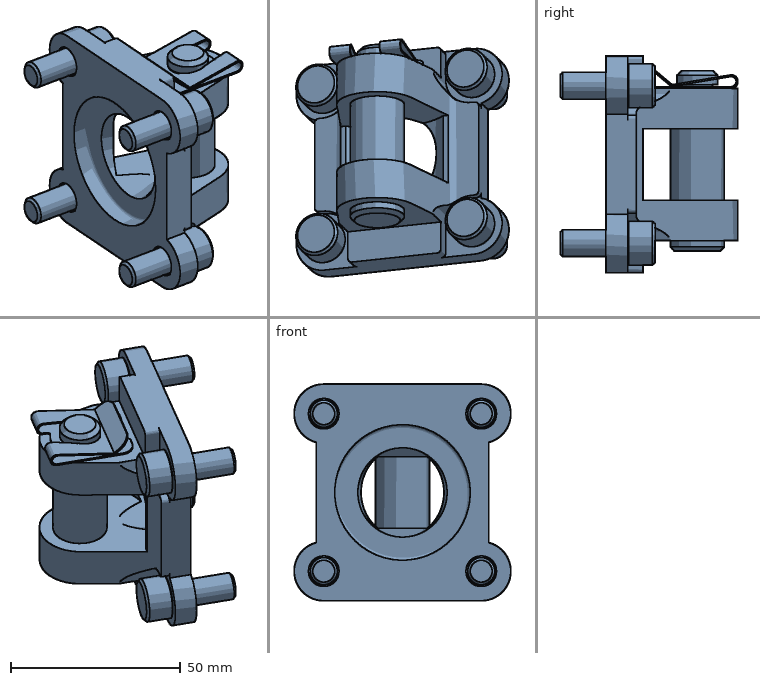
import cadquery as cq
import math

flange_size = 64.0
flange_waist_width = 51.0
ear_radius = 8.8
screw_spacing = flange_size - 2 * ear_radius
screw_offset = screw_spacing / 2
ear_thickness = 6.5
waist_thickness = 9.0
base_thickness = 11.0
recess_edge_radius = 1.2
screw_hole_diameter = 9.0

bore_diameter = 40.0
bore_depth = 5.0
bore_corner = 1.0
cone_diameter = 26.4
cone_half_angle = 15.0

pin_axis_y = 27.0
arm_end_radius = 12.0
arm_taper_angle = 15.0
arm_gap = 21.0
arm_top = 22.45
scoop_radius = pin_axis_y - bore_depth

pin_diameter = 16.0
pin_bottom = -25.55
pin_bottom_chamfer = 1.2
pin_neck_diameter = 9.0
pin_neck_height = 1.1
pin_tip_diameter = 12.0
pin_top = 27.65
pin_top_chamfer = 1.35

head_diameter = 13.0
head_height = 8.0
bearing_diameter = 12.0
bearing_height = 0.2
shank_diameter = 8.0
shank_length = 20.0
screw_chamfer = 0.8

clip_width = 22.0
clip_thickness = 0.5
loop_outer_radius = 2.0
leaf_tilt = 9.5
fold_y = 19.5
lip_tilt = 40.0
lip_length = 6.15
clip_front_y = 12.9
clip_corner_radius = 4.0
entry_half_width = 4.35
entry_round = 1.15
loop_slot_half_width = 4.6
loop_slot_round = 1.0
tongue_radius = 8.8
leaf_slot_half_width = 5.6
leaf_slot_wide_y = 29.8
leaf_slot_narrow_y = 38.15


def cylinder_along_y(x, z, diameter, y_start, y_end):
    disc = cq.Workplane("XZ", origin=(x, y_start, z)).circle(diameter / 2)
    return disc.extrude(-(y_end - y_start))


def screw_positions():
    return [(sx * screw_offset, sz * screw_offset) for sx in (-1, 1) for sz in (-1, 1)]


def make_flange():
    """Thin plate with four round ears."""
    tall = cq.Workplane("XZ").rect(screw_spacing, flange_size).extrude(-ear_thickness)
    wide = cq.Workplane("XZ").rect(flange_waist_width, screw_spacing).extrude(-ear_thickness)
    flange = tall.union(wide)
    for x, z in screw_positions():
        flange = flange.union(cylinder_along_y(x, z, 2 * ear_radius, 0, ear_thickness))
    return flange


def arm_tangent_point():
    """Point where the straight flank of an arm meets its round end, on the +X side."""
    taper = math.radians(arm_taper_angle)
    return arm_end_radius * math.cos(taper), pin_axis_y + arm_end_radius * math.sin(taper)


def flank_half_width(y):
    """Half width across the arm flanks at depth y."""
    tangent_x, tangent_y = arm_tangent_point()
    return tangent_x + (tangent_y - y) * math.tan(math.radians(arm_taper_angle))


def make_raised_base():
    """Thicker middle of the plate, with a concave sweep from the waist up to the arm flanks."""
    half_waist = flange_waist_width / 2
    taper = math.radians(arm_taper_angle)
    sweep_turn = math.pi / 2 - taper
    rise = base_thickness - waist_thickness
    sweep_radius = rise / (1 - math.sin(taper))
    top_x = flank_half_width(base_thickness)
    centre_x = top_x + sweep_radius * math.cos(taper)
    centre_y = waist_thickness + sweep_radius
    middle_angle = math.pi + taper + sweep_turn / 2
    middle_x = centre_x + sweep_radius * math.cos(middle_angle)
    middle_y = centre_y + sweep_radius * math.sin(middle_angle)
    profile = (
        cq.Workplane("XY")
        .moveTo(-half_waist, ear_thickness)
        .lineTo(half_waist, ear_thickness)
        .lineTo(half_waist, waist_thickness)
        .lineTo(centre_x, waist_thickness)
        .threePointArc((middle_x, middle_y), (top_x, base_thickness))
        .lineTo(-top_x, base_thickness)
        .threePointArc((-middle_x, middle_y), (-centre_x, waist_thickness))
        .lineTo(-half_waist, waist_thickness)
        .close()
    )
    return profile.extrude(flange_size / 2, both=True)


def make_arms():
    """Two tapered arms with round ends, separated by the clevis gap."""
    tangent_x, tangent_y = arm_tangent_point()
    root_x = flank_half_width(base_thickness)
    arms = (
        cq.Workplane("XY")
        .moveTo(-root_x, base_thickness)
        .lineTo(root_x, base_thickness)
        .lineTo(tangent_x, tangent_y)
        .threePointArc((0, pin_axis_y + arm_end_radius), (-tangent_x, tangent_y))
        .close()
        .extrude(arm_top, both=True)
    )
    gap = cq.Workplane("XY").rect(2 * flange_size, 2 * flange_size).extrude(arm_gap / 2, both=True)
    return arms.cut(gap)


def make_screw_recess(sign_x, sign_z):
    """Clearance for one screw head, open to the two outer edges of its corner."""
    wall = screw_offset - ear_radius
    outside = flange_size
    half_height = flange_size / 2
    half_waist = flange_waist_width / 2
    r = recess_edge_radius
    bevel = r * math.sqrt(0.5)
    inner = screw_offset - ear_radius * math.sqrt(0.5)

    def at(x, z):
        return sign_x * x, sign_z * z

    outline = (
        cq.Workplane("XZ", origin=(0, ear_thickness, 0))
        .moveTo(*at(wall - r, outside))
        .lineTo(*at(wall - r, half_height))
        .threePointArc(at(wall - r + bevel, half_height - r + bevel), at(wall, half_height - r))
        .lineTo(*at(wall, screw_offset))
        .threePointArc(at(inner, inner), at(screw_offset, wall))
        .lineTo(*at(half_waist - r, wall))
        .threePointArc(at(half_waist - r + bevel, wall - r + bevel), at(half_waist, wall - r))
        .lineTo(*at(outside, wall - r))
        .lineTo(*at(outside, outside))
        .close()
    )
    return outline.extrude(-(pin_axis_y + arm_end_radius))


def make_bore():
    """Counterbore with a rounded floor corner, then a cone narrowing into the clevis gap."""
    bore = cylinder_along_y(0, 0, bore_diameter, 0, bore_depth).faces(">Y").edges().fillet(bore_corner)
    cone_radius = cone_diameter / 2
    cone_tip_y = bore_depth + cone_radius / math.tan(math.radians(cone_half_angle))
    cone = (
        cq.Workplane("XY")
        .polyline([(0, bore_depth), (cone_radius, bore_depth), (0, cone_tip_y)])
        .close()
        .revolve(360, (0, 0, 0), (0, 1, 0))
    )
    return bore, cone


def make_housing():
    body = make_flange().union(make_raised_base()).union(make_arms())
    for sign_x in (-1, 1):
        for sign_z in (-1, 1):
            body = body.cut(make_screw_recess(sign_x, sign_z))
    for x, z in screw_positions():
        body = body.cut(cylinder_along_y(x, z, screw_hole_diameter, 0, ear_thickness))
    scoop = cq.Workplane("XY").center(0, pin_axis_y).circle(scoop_radius).extrude(arm_gap / 2, both=True)
    pin_hole = cq.Workplane("XY").center(0, pin_axis_y).circle(pin_diameter / 2).extrude(arm_top, both=True)
    bore, cone = make_bore()
    return body.cut(scoop).cut(bore).cut(cone).cut(pin_hole)


def make_pin():
    """Stepped pin with a neck just above the upper arm."""
    shaft_r = pin_diameter / 2
    neck_r = pin_neck_diameter / 2
    tip_r = pin_tip_diameter / 2
    neck_top = arm_top + pin_neck_height
    profile = [
        (0, pin_bottom),
        (shaft_r - pin_bottom_chamfer, pin_bottom),
        (shaft_r, pin_bottom + pin_bottom_chamfer),
        (shaft_r, arm_top),
        (neck_r, arm_top),
        (neck_r, neck_top),
        (tip_r, neck_top),
        (tip_r, pin_top - pin_top_chamfer),
        (tip_r - pin_top_chamfer, pin_top),
        (0, pin_top),
    ]
    pin = cq.Workplane("XZ").polyline(profile).close().revolve(360, (0, 0, 0), (0, 1, 0))
    return pin.translate((0, pin_axis_y, 0))


def make_screw(x, z):
    """Cap screw pointing toward -Y, with the bearing face of its head seated on the ear."""
    head_start = ear_thickness + bearing_height
    head_end = ear_thickness + head_height
    tip = ear_thickness - shank_length
    head = cylinder_along_y(x, z, head_diameter, head_start, head_end).faces(">Y").chamfer(screw_chamfer)
    bearing = cylinder_along_y(x, z, bearing_diameter, ear_thickness, head_start)
    shank = cylinder_along_y(x, z, shank_diameter, tip, ear_thickness).faces("<Y").chamfer(screw_chamfer)
    return head.union(bearing).union(shank)


def make_clip_strip():
    """Bent strip: lower leaf, loop at the arm end, sloping upper leaf and raised lip."""
    loop_y = pin_axis_y + arm_end_radius - loop_outer_radius
    loop_z = arm_top + loop_outer_radius
    loop_inner_radius = loop_outer_radius - clip_thickness
    leaf = math.radians(leaf_tilt)
    lip = math.radians(lip_tilt)

    def leaf_start(radius):
        return loop_y - radius * math.sin(leaf), loop_z + radius * math.cos(leaf)

    upper_start = leaf_start(loop_outer_radius)
    fold_upper = (fold_y, upper_start[1] - (upper_start[0] - fold_y) * math.tan(leaf))
    lip_tip_upper = (fold_y - lip_length * math.cos(lip), fold_upper[1] + lip_length * math.sin(lip))
    lip_tip_lower = (
        lip_tip_upper[0] - clip_thickness * math.sin(lip),
        lip_tip_upper[1] - clip_thickness * math.cos(lip),
    )
    half_fold = (leaf + lip) / 2
    miter = clip_thickness / math.cos(half_fold)
    miter_lean = (lip - leaf) / 2
    fold_lower = (
        fold_upper[0] - miter * math.sin(miter_lean),
        fold_upper[1] - miter * math.cos(miter_lean),
    )
    base_top = arm_top + clip_thickness
    strip = (
        cq.Workplane("YZ")
        .moveTo(clip_front_y, arm_top)
        .lineTo(loop_y, arm_top)
        .threePointArc((loop_y + loop_outer_radius, loop_z), upper_start)
        .lineTo(*fold_upper)
        .lineTo(*lip_tip_upper)
        .lineTo(*lip_tip_lower)
        .lineTo(*fold_lower)
        .lineTo(*leaf_start(loop_inner_radius))
        .threePointArc((loop_y + loop_inner_radius, loop_z), (loop_y, base_top))
        .lineTo(clip_front_y, base_top)
        .close()
        .extrude(clip_width / 2, both=True)
    )
    lip_normal = cq.Vector(0, math.sin(lip), math.cos(lip))
    strip = strip.edges(cq.selectors.ParallelDirSelector(lip_normal)).fillet(clip_corner_radius)
    return strip.faces("<Y").edges("|Z").fillet(clip_corner_radius)


def make_neck_opening():
    """Keyhole in the lower leaf: a round seat for the pin neck and a snap entry from the front."""
    height = clip_thickness
    seat = cq.Workplane("XY").center(0, pin_axis_y).circle(pin_neck_diameter / 2).extrude(height)
    mouth = entry_half_width + entry_round
    bevel = entry_round * (1 - math.sqrt(0.5))
    entry = (
        cq.Workplane("XY")
        .moveTo(-mouth, clip_front_y)
        .lineTo(mouth, clip_front_y)
        .threePointArc(
            (entry_half_width + bevel, clip_front_y + bevel),
            (entry_half_width, clip_front_y + entry_round),
        )
        .lineTo(entry_half_width, pin_axis_y)
        .lineTo(-entry_half_width, pin_axis_y)
        .lineTo(-entry_half_width, clip_front_y + entry_round)
        .threePointArc((-entry_half_width - bevel, clip_front_y + bevel), (-mouth, clip_front_y))
        .close()
        .extrude(height)
    )
    return seat.union(entry).translate((0, 0, arm_top))


def make_loop_slot():
    """Slot that splits the loop in two, ending on the round tongue of the lower leaf."""
    back_y = pin_axis_y + arm_end_radius
    slot = (
        cq.Workplane("XY")
        .rect(2 * loop_slot_half_width, 2 * (back_y - pin_axis_y))
        .extrude(loop_outer_radius)
        .translate((0, back_y, 0))
    )
    tongue = cq.Workplane("XY").circle(tongue_radius).extrude(loop_outer_radius).translate((0, pin_axis_y, 0))
    slot = slot.cut(tongue)
    slot = slot.edges("|Z and <Y").fillet(loop_slot_round)
    return slot.translate((0, 0, arm_top))


def make_leaf_opening():
    """Hole for the pin tip in the upper leaf and the tapered slot from it to the loop."""
    bottom = arm_top + loop_outer_radius
    hole_bottom = arm_top + clip_thickness
    height = pin_top - hole_bottom
    hole = cq.Workplane("XY").center(0, pin_axis_y).circle(pin_tip_diameter / 2).extrude(height)
    back_y = pin_axis_y + arm_end_radius
    slot = (
        cq.Workplane("XY")
        .moveTo(-leaf_slot_half_width, pin_axis_y)
        .lineTo(leaf_slot_half_width, pin_axis_y)
        .lineTo(leaf_slot_half_width, leaf_slot_wide_y)
        .lineTo(loop_slot_half_width, leaf_slot_narrow_y)
        .lineTo(loop_slot_half_width, back_y)
        .lineTo(-loop_slot_half_width, back_y)
        .lineTo(-loop_slot_half_width, leaf_slot_narrow_y)
        .lineTo(-leaf_slot_half_width, leaf_slot_wide_y)
        .close()
        .extrude(height)
    )
    return hole.translate((0, 0, hole_bottom)).union(slot.translate((0, 0, bottom)))


def make_clip():
    return make_clip_strip().cut(make_neck_opening()).cut(make_loop_slot()).cut(make_leaf_opening())


housing = make_housing()
pin = make_pin()
clip = make_clip()
screws = [make_screw(x, z) for x, z in screw_positions()]

result = cq.Compound.makeCompound(
    [housing.val(), pin.val(), clip.val(), *[screw.val() for screw in screws]]
)